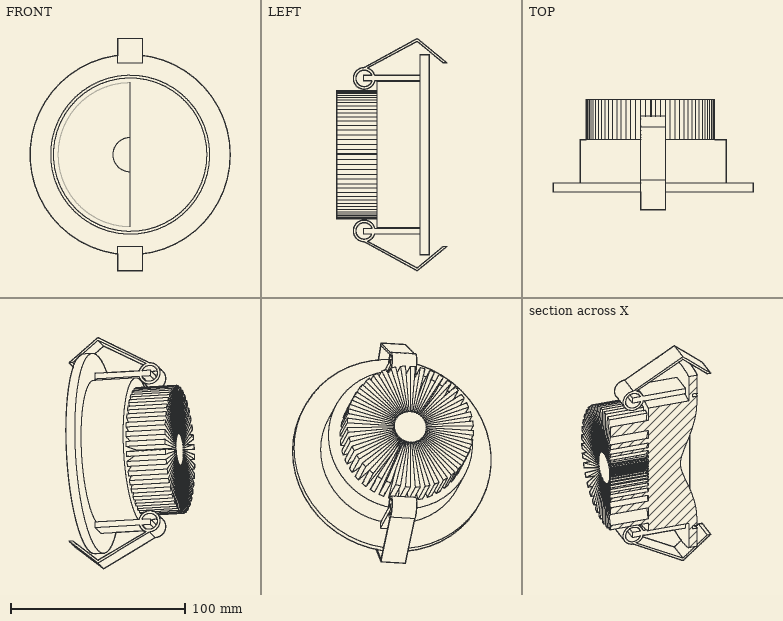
import cadquery as cq
import math

FLANGE_RADIUS = 57.5
FLANGE_THICKNESS = 5.3
BODY_RADIUS = 42.0
BODY_BACK = 30.2
HEAT_SINK_BACK = 53.3

HEAT_SINK_RADIUS = 36.8
HEAT_SINK_OFFSET_X = -1.6
CORE_RADIUS = 9.3
FIN_COUNT = 40
FIN_PITCH = 360 / FIN_COUNT
FIN_ANGLE = FIN_PITCH / 2

GROOVE_OUTER_RADIUS = 45.6
GROOVE_INNER_RADIUS = 44.0
GROOVE_DEPTH = 2.7

POCKET_RIM_RADIUS = 41.4
POCKET_FLOOR_RADIUS = 9.9
POCKET_DEPTH = 11.9

CLIP_WIDTH = 14.3
ARM_THICKNESS = 3.3
ARM_INNER_Z = 42.3
ARM_BACK = 37.9
COIL_Y = 37.4
COIL_Z = 43.8
COIL_OUTER_RADIUS = 6.3
COIL_INNER_RADIUS = 4.7
SPRING_PEAK_Y = 7.0
SPRING_PEAK_Z = 66.7
SPRING_TIP_Y = -10.1
SPRING_TIP_Z = 52.7
SPRING_TIP_LENGTH = 2.3
SPRING_HEIGHT = 1.7
SPRING_ROOT_HEIGHT = 1.3


def cylinder(radius, start_y, end_y):
    """Cylinder on the Y axis between two Y positions."""
    return cq.Workplane("XZ", origin=(0, start_y, 0)).circle(radius).extrude(start_y - end_y)


def heat_sink():
    """Core with radial wedge fins, starting on the back of the body."""
    sink = cylinder(CORE_RADIUS, BODY_BACK, HEAT_SINK_BACK)
    half_angle = math.radians(FIN_ANGLE / 2)
    end_angle = math.radians(FIN_ANGLE)
    root_radius = CORE_RADIUS / 2

    def polar(radius, angle):
        return (radius * math.cos(angle), radius * math.sin(angle))

    fin = (
        cq.Workplane("XZ", origin=(0, BODY_BACK, 0))
        .moveTo(*polar(root_radius, 0))
        .lineTo(*polar(HEAT_SINK_RADIUS, 0))
        .threePointArc(polar(HEAT_SINK_RADIUS, half_angle), polar(HEAT_SINK_RADIUS, end_angle))
        .lineTo(*polar(root_radius, end_angle))
        .close()
        .extrude(BODY_BACK - HEAT_SINK_BACK)
    )
    for index in range(FIN_COUNT):
        sink = sink.union(fin.rotate((0, 0, 0), (0, 1, 0), index * FIN_PITCH))
    return sink.translate((HEAT_SINK_OFFSET_X, 0, 0))


def front_groove():
    """Ring-shaped cutter for the groove around the insert."""
    outer = cylinder(GROOVE_OUTER_RADIUS, 0, GROOVE_DEPTH)
    return outer.cut(cylinder(GROOVE_INNER_RADIUS, 0, GROOVE_DEPTH))


def reflector_pocket():
    """Half-turn cutter whose flared wall is an arc tangent to the front face at its rim."""
    wall_span = POCKET_RIM_RADIUS - POCKET_FLOOR_RADIUS
    arc_radius = (wall_span**2 + POCKET_DEPTH**2) / (2 * POCKET_DEPTH)
    mid_angle = math.atan2(POCKET_DEPTH, wall_span)
    arc_middle = (
        -POCKET_RIM_RADIUS + arc_radius * math.sin(mid_angle),
        arc_radius * (1 - math.cos(mid_angle)),
    )
    full_pocket = (
        cq.Workplane("XY")
        .lineTo(-POCKET_RIM_RADIUS, 0)
        .threePointArc(arc_middle, (-POCKET_FLOOR_RADIUS, POCKET_DEPTH))
        .lineTo(0, POCKET_DEPTH)
        .close()
        .revolve(360, (0, 0, 0), (0, 1, 0))
    )
    block_side = 2 * FLANGE_RADIUS
    open_half = cq.Workplane("XY").box(block_side, block_side, block_side).translate((-FLANGE_RADIUS, 0, 0))
    return full_pocket.intersect(open_half)


def spring_clip():
    """Upper clip: a flat arm, a coil around its end and a bent leaf spring."""
    side = cq.Workplane("YZ")
    half_width = CLIP_WIDTH / 2
    coil_top = COIL_Z + COIL_OUTER_RADIUS
    arm = (
        side.moveTo(FLANGE_THICKNESS, ARM_INNER_Z)
        .lineTo(ARM_BACK, ARM_INNER_Z)
        .lineTo(ARM_BACK, ARM_INNER_Z + ARM_THICKNESS)
        .lineTo(FLANGE_THICKNESS, ARM_INNER_Z + ARM_THICKNESS)
        .close()
        .extrude(half_width, both=True)
    )
    coil = (
        side.center(COIL_Y, COIL_Z)
        .circle(COIL_OUTER_RADIUS)
        .circle(COIL_INNER_RADIUS)
        .extrude(half_width, both=True)
    )
    leaf = (
        side.moveTo(COIL_Y, coil_top)
        .lineTo(SPRING_PEAK_Y, SPRING_PEAK_Z)
        .lineTo(SPRING_TIP_Y, SPRING_TIP_Z)
        .lineTo(SPRING_TIP_Y + SPRING_TIP_LENGTH, SPRING_TIP_Z)
        .lineTo(SPRING_PEAK_Y, SPRING_PEAK_Z - SPRING_HEIGHT)
        .lineTo(COIL_Y, coil_top - SPRING_ROOT_HEIGHT)
        .close()
        .extrude(half_width, both=True)
    )
    return arm.union(coil).union(leaf)


upper_clip = spring_clip()
lower_clip = upper_clip.mirror("XY")

lamp = cylinder(FLANGE_RADIUS, 0, FLANGE_THICKNESS)
lamp = lamp.union(cylinder(BODY_RADIUS, FLANGE_THICKNESS, BODY_BACK))
lamp = lamp.union(heat_sink())
lamp = lamp.cut(front_groove()).cut(reflector_pocket())
result = lamp.union(upper_clip).union(lower_clip)